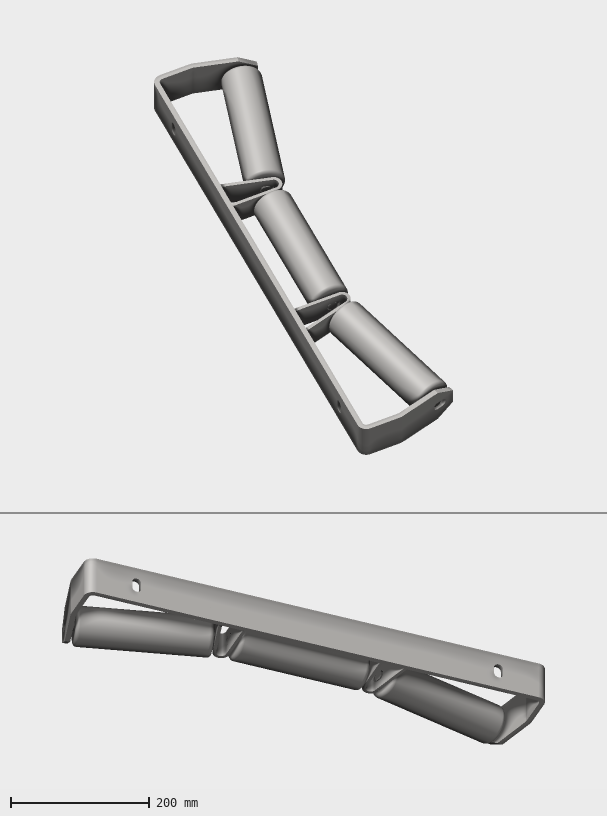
import cadquery as cq
import math

FRAME_LENGTH = 720.0
FRAME_HEIGHT = 60.0
FRAME_DEPTH = 157.65
BAR_THICKNESS = 8.0
BEND_OUTER_RADIUS = 14.0
BEND_INNER_RADIUS = BEND_OUTER_RADIUS - BAR_THICKNESS
ARM_BEND_Y = 64.0
ARM_TIP_HEIGHT = 27.0
TIP_TAPER_ANGLE = 30.0
MOUNT_SLOT_SPACING = 566.0
MOUNT_SLOT_WIDTH = 14.0
MOUNT_SLOT_HEIGHT = 23.0

TILT = 15.0
SIN_TILT = math.sin(math.radians(TILT))
COS_TILT = math.cos(math.radians(TILT))

DRUM_DIAMETER = 60.0
DRUM_LENGTH = 202.0
DRUM_FILLET = 6.0
SHAFT_DIAMETER = 15.0
SHAFT_LENGTH = 219.0
SHAFT_COLLAR_LENGTH = DRUM_LENGTH + 2.0
SHAFT_FLATS = 14.0
CENTER_ROLLER_Y = 71.5
SIDE_ROLLER_X = 231.0
SIDE_ROLLER_Y = 103.0

BRACKET_DROP = 2.0
SIDE_ROLLER_PITCH = math.degrees(math.atan(BRACKET_DROP / SHAFT_LENGTH))

SHAFT_SLOT_LENGTH = 22.0
SHAFT_SLOT_OFFSET = 1.3
SHAFT_SLOT_WIDTH = SHAFT_FLATS
SHAFT_SLOT_OVERRUN = 8.0

STRIP_HEIGHT = 40.0
STRIP_THICKNESS = 5.0
STRIP_BEND_RADIUS = 12.5
BRACKET_TOP_Y = 95.0
STRAIGHT_LEG_X = -104.5


def mirrored(shape):
    """Mirror image on the other side of the YZ plane."""
    return shape.mirror("YZ")


def x_bar(profile_radius, length):
    """Round bar along X, centred on the origin."""
    return cq.Workplane("YZ", origin=(-length / 2, 0, 0)).circle(profile_radius).extrude(length)


def at_center(shape):
    """Move a shape built about the X axis to the centre roller's place."""
    return shape.translate((0, CENTER_ROLLER_Y, -BRACKET_DROP))


def at_left(shape):
    """Move a shape built about the X axis to the left roller's place."""
    pitched = shape.rotate((0, 0, 0), (0, 1, 0), SIDE_ROLLER_PITCH)
    turned = pitched.rotate((0, 0, 0), (0, 0, 1), -TILT)
    return turned.translate((-SIDE_ROLLER_X, SIDE_ROLLER_Y, -BRACKET_DROP / 2))


def make_roller():
    """Roller along X, centred on the origin."""
    drum = x_bar(DRUM_DIAMETER / 2, DRUM_LENGTH).faces("<X or >X").edges().fillet(DRUM_FILLET)
    collars = x_bar(SHAFT_DIAMETER / 2, SHAFT_COLLAR_LENGTH)
    flats = cq.Workplane("XY").box(SHAFT_LENGTH, SHAFT_DIAMETER, SHAFT_FLATS)
    shaft_ends = x_bar(SHAFT_DIAMETER / 2, SHAFT_LENGTH).intersect(flats)
    return drum.union(collars).union(shaft_ends)


def make_slot_cutter():
    """Cutter along X for the slots at both ends of one shaft."""
    length = SHAFT_LENGTH + 2 * SHAFT_SLOT_OVERRUN
    return (
        cq.Workplane("YZ", origin=(-length / 2, 0, 0))
        .center(SHAFT_SLOT_OFFSET, 0)
        .slot2D(SHAFT_SLOT_LENGTH, SHAFT_SLOT_WIDTH)
        .extrude(length)
    )


def bend(body, x, y, radius):
    """Round the upright edge of the frame bar at (x, y)."""
    return body.edges(cq.selectors.NearestToPointSelector((x, y, 0))).fillet(radius)


def taper_arm(body, tip_x):
    """Taper both edges of the arm towards a flat tip."""
    outer_face = cq.Plane(
        origin=(tip_x, FRAME_DEPTH, 0),
        xDir=(-SIN_TILT, -COS_TILT, 0),
        normal=(-COS_TILT, SIN_TILT, 0),
    )
    tip = ARM_TIP_HEIGHT / 2
    edge = FRAME_HEIGHT / 2
    taper_length = (edge - tip) / math.tan(math.radians(TIP_TAPER_ANGLE))
    for side in (1, -1):
        corner = (
            cq.Workplane(outer_face)
            .polyline([(0, side * tip), (taper_length, side * edge), (0, side * edge)])
            .close()
            .extrude(-BAR_THICKNESS)
        )
        body = body.cut(corner)
    return body


def make_frame():
    outer_x = -FRAME_LENGTH / 2
    inner_x = outer_x + BAR_THICKNESS
    inner_bend_y = ARM_BEND_Y - BAR_THICKNESS * math.tan(math.radians(TILT / 2))
    tip_x = outer_x + (FRAME_DEPTH - ARM_BEND_Y) * SIN_TILT / COS_TILT
    half_frame = (
        cq.Workplane("XY", origin=(0, 0, -FRAME_HEIGHT / 2))
        .moveTo(0, 0)
        .lineTo(outer_x, 0)
        .lineTo(outer_x, ARM_BEND_Y)
        .lineTo(tip_x, FRAME_DEPTH)
        .lineTo(tip_x + BAR_THICKNESS * COS_TILT, FRAME_DEPTH - BAR_THICKNESS * SIN_TILT)
        .lineTo(inner_x, inner_bend_y)
        .lineTo(inner_x, BAR_THICKNESS)
        .lineTo(0, BAR_THICKNESS)
        .close()
        .extrude(FRAME_HEIGHT)
    )
    half_frame = bend(half_frame, outer_x, 0, BEND_OUTER_RADIUS)
    half_frame = bend(half_frame, inner_x, BAR_THICKNESS, BEND_INNER_RADIUS)
    half_frame = bend(half_frame, outer_x, ARM_BEND_Y, BEND_OUTER_RADIUS)
    half_frame = bend(half_frame, inner_x, inner_bend_y, BEND_INNER_RADIUS)
    half_frame = taper_arm(half_frame, tip_x)

    mount_slot = (
        cq.Workplane("XZ", origin=(-MOUNT_SLOT_SPACING / 2, 0, 0))
        .slot2D(MOUNT_SLOT_HEIGHT, MOUNT_SLOT_WIDTH, 90)
        .extrude(-BAR_THICKNESS)
    )
    half_frame = half_frame.cut(mount_slot).cut(at_left(make_slot_cutter()))
    return half_frame.union(mirrored(half_frame))


def arch(radius):
    """Solid bounded by the two legs, their bend of the given radius and the frame bar."""
    center_x = STRAIGHT_LEG_X - STRIP_BEND_RADIUS
    center_y = BRACKET_TOP_Y - STRIP_BEND_RADIUS
    bend_x = center_x - radius * COS_TILT
    bend_y = center_y + radius * SIN_TILT
    foot_x = bend_x - (bend_y - BAR_THICKNESS) * SIN_TILT / COS_TILT
    return (
        cq.Workplane("XY", origin=(0, 0, -BRACKET_DROP - STRIP_HEIGHT / 2))
        .moveTo(foot_x, BAR_THICKNESS)
        .lineTo(bend_x, bend_y)
        .threePointArc((center_x, center_y + radius), (center_x + radius, center_y))
        .lineTo(center_x + radius, BAR_THICKNESS)
        .close()
        .extrude(STRIP_HEIGHT)
    )


def make_left_bracket():
    """Bracket between the left and centre rollers, standing on the frame bar."""
    strip = arch(STRIP_BEND_RADIUS).cut(arch(STRIP_BEND_RADIUS - STRIP_THICKNESS))
    slot_cutter = make_slot_cutter()
    return strip.cut(at_left(slot_cutter)).cut(at_center(slot_cutter))


frame = make_frame()

left_bracket = make_left_bracket()
brackets = [left_bracket, mirrored(left_bracket)]

left_roller = at_left(make_roller())
rollers = [left_roller, at_center(make_roller()), mirrored(left_roller)]

result = cq.Compound.makeCompound([body.solids().val() for body in [frame, *brackets, *rollers]])